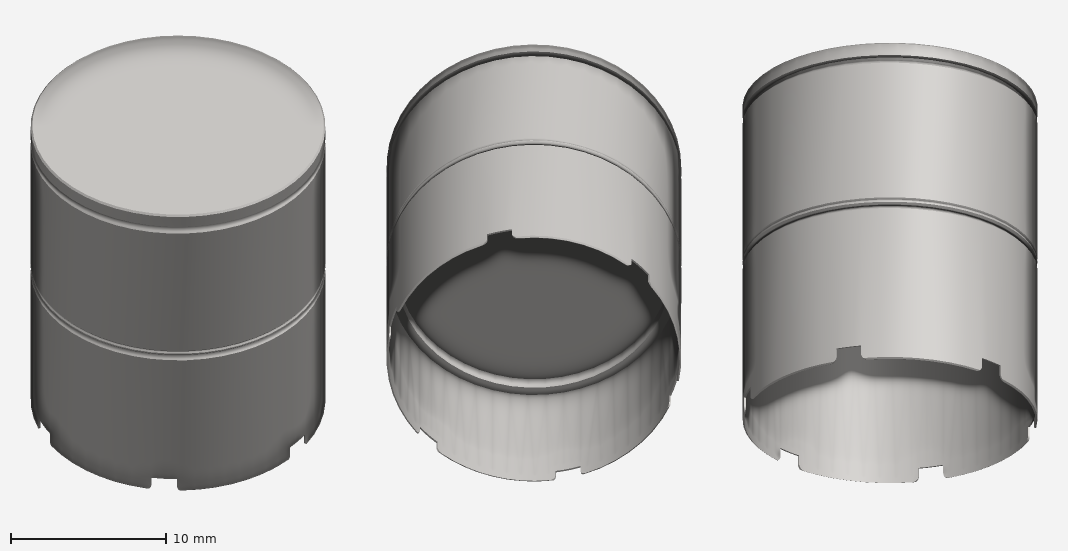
import cadquery as cq
import math

height = 22.5
radius = 9.5

joint_z = 11.0
top_chamfer = 0.11
groove_top_z = 21.58
groove_floor_height = 0.18
groove_depth = 0.35
vee_top_z = 11.45
vee_height = 0.22
vee_depth = 0.1
bottom_chamfer = 0.14

wall = 0.11
collar_wall = 0.68
collar_height = 1.0
joint_chamfer = 0.32
rim_chamfer = 0.1
notch_count = 6
notch_width = 1.66
notch_depth = 1.0
notch_corner = 0.4
first_notch_angle = -90.0


def make_cap():
    """Revolve the solid cap with its grooves and edge chamfers."""
    groove_radius = radius - groove_depth
    groove_floor_z = groove_top_z - groove_floor_height
    vee_bottom_z = vee_top_z - vee_height
    outline = [
        (0, joint_z),
        (radius - bottom_chamfer, joint_z),
        (radius, joint_z + bottom_chamfer),
        (radius, vee_bottom_z),
        (radius - vee_depth, vee_bottom_z + vee_height / 2),
        (radius, vee_top_z),
        (radius, groove_floor_z - groove_depth),
        (groove_radius, groove_floor_z),
        (groove_radius, groove_top_z),
        (radius, groove_top_z),
        (radius, height - top_chamfer),
        (radius - top_chamfer, height),
        (0, height),
    ]
    return cq.Workplane("XZ").polyline(outline).close().revolve(360, (0, 0), (0, 1))


def make_tube():
    """Revolve the tube with a thicker collar, chamfered at the cap and at the bottom rim."""
    bore_radius = radius - wall
    joint_bore_radius = radius - collar_wall
    outline = [
        (bore_radius, 0),
        (radius - rim_chamfer, 0),
        (radius, rim_chamfer),
        (radius, joint_z - joint_chamfer),
        (radius - joint_chamfer, joint_z),
        (joint_bore_radius, joint_z),
        (joint_bore_radius, joint_z - collar_height),
        (bore_radius, joint_z - collar_height),
    ]
    return cq.Workplane("XZ").polyline(outline).close().revolve(360, (0, 0), (0, 1))


def make_notch_cutter(angle):
    """Radial cutter for one notch, with rounded corners where it opens at the rim."""
    half_width = notch_width / 2
    mouth = half_width + notch_corner
    arc_offset = notch_corner * (1 - math.sqrt(0.5))
    return (
        cq.Workplane("YZ")
        .moveTo(-mouth, 0)
        .threePointArc((-half_width - arc_offset, arc_offset), (-half_width, notch_corner))
        .lineTo(-half_width, notch_depth)
        .lineTo(half_width, notch_depth)
        .lineTo(half_width, notch_corner)
        .threePointArc((half_width + arc_offset, arc_offset), (mouth, 0))
        .close()
        .extrude(2 * radius)
        .rotate((0, 0, 0), (0, 0, 1), angle)
    )


def make_base():
    """Tube with equally spaced notches around its bottom rim."""
    base = make_tube()
    for index in range(notch_count):
        angle = first_notch_angle + index * 360 / notch_count
        base = base.cut(make_notch_cutter(angle))
    return base


cap = make_cap()
base = make_base()

result = cq.Compound.makeCompound([cap.val(), base.val()])